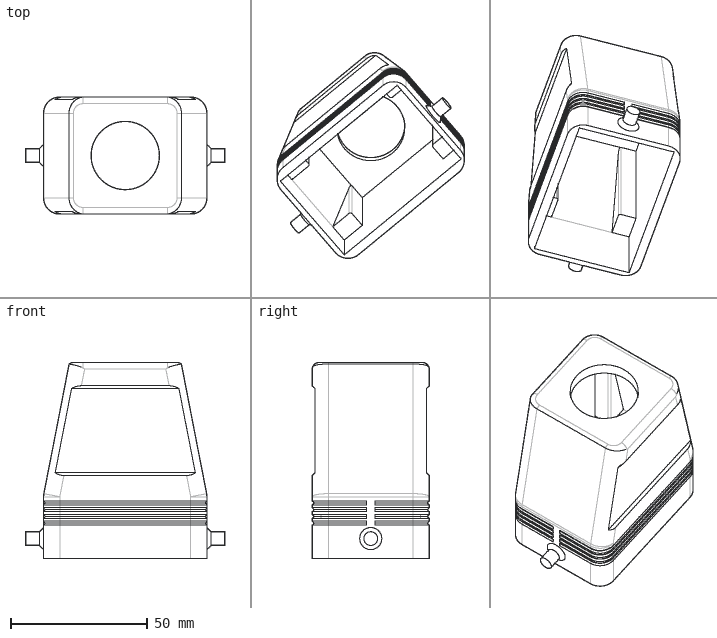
import cadquery as cq

LENGTH = 73.0
BODY_WIDTH = 60.0
DEPTH = 43.0
HEIGHT = 72.0
TOP_WIDTH = 41.0
BEND_HEIGHT = 23.3
BEND_RADIUS = 6.0
CORNER_RADIUS = 6.0
TOP_EDGE_RADIUS = 2.5

PANEL_BOTTOM = 31.5
PANEL_TOP = 62.4
PANEL_SINK = 1.0

GROOVE_COUNT = 4
FIRST_GROOVE_HEIGHT = 13.0
GROOVE_PITCH = 2.5
GROOVE_SINK = 0.7
BRIDGE_WIDTH = 3.0

PIN_HEIGHT = 7.4
PIN_DIAMETER = 5.05
COLLAR_LENGTH = 1.5

HOLE_DIAMETER = 25.0
TOP_THICKNESS = 5.05
SIDE_WALL = 2.0
CAVITY_DEPTH = 36.35
BLOCK_GAP_X = 38.8
BLOCK_GAP_Y = 23.2
BLOCK_EDGE_RADIUS = 0.8

MARGIN = 3.65

ceiling = HEIGHT - TOP_THICKNESS
side_slope = (BODY_WIDTH - TOP_WIDTH) / 2 / (HEIGHT - BEND_HEIGHT)


def half_width_at(height):
    """Half the X width of the sloped part of the body at a given height."""
    return BODY_WIDTH / 2 - side_slope * (height - BEND_HEIGHT)


def tapered_prism(inset, top, depth):
    """Prism along Y with straight sides up to the bend and sloped sides above it."""
    base_x = BODY_WIDTH / 2 - inset
    top_x = half_width_at(top) - inset
    outline = [
        (-base_x, 0),
        (base_x, 0),
        (base_x, BEND_HEIGHT),
        (top_x, top),
        (-top_x, top),
        (-base_x, BEND_HEIGHT),
    ]
    return cq.Workplane("XZ").polyline(outline).close().extrude(depth / 2, both=True)


def rounded_plate(width, depth, height, taper=0):
    """Plate with rounded vertical corners, optionally narrowing upwards."""
    sketch = cq.Sketch().rect(width, depth).vertices().fillet(CORNER_RADIUS)
    return cq.Workplane("XY").placeSketch(sketch).extrude(height, taper=taper)


def box(width, depth, height, bottom):
    """Block centred on the Z axis."""
    return cq.Workplane("XY").workplane(offset=bottom).rect(width, depth).extrude(height)


def hood_body():
    """Solid hood: bent sides, rounded corners and a rounded top rim."""
    body = tapered_prism(0, HEIGHT, DEPTH)
    at_bend = cq.selectors.BoxSelector(
        (-BODY_WIDTH, -DEPTH, BEND_HEIGHT - MARGIN), (BODY_WIDTH, DEPTH, BEND_HEIGHT + MARGIN)
    )
    body = body.edges("|Y").edges(at_bend).fillet(BEND_RADIUS)
    body = body.edges("not(|Y or |X)").fillet(CORNER_RADIUS)

    rim_bottom = HEIGHT - TOP_EDGE_RADIUS
    cap = rounded_plate(DEPTH, DEPTH, HEIGHT).faces(">Z").edges().fillet(TOP_EDGE_RADIUS)
    rim_cutter = box(BODY_WIDTH, DEPTH + MARGIN, TOP_EDGE_RADIUS + MARGIN, rim_bottom).cut(cap)
    return body.cut(rim_cutter)


def panel_cutter():
    """Trapezoid running along X that sinks the panel of the -Y face."""
    floor_y = -DEPTH / 2 + PANEL_SINK
    outer_y = floor_y - MARGIN
    outline = [
        (floor_y, PANEL_BOTTOM),
        (floor_y, PANEL_TOP),
        (outer_y, PANEL_TOP + MARGIN),
        (outer_y, PANEL_BOTTOM - MARGIN),
    ]
    return cq.Workplane("YZ").polyline(outline).close().extrude(BODY_WIDTH, both=True)


def groove_cutter(height):
    """V-shaped ring around the body, left open at the bridges on the X faces."""
    frustum = rounded_plate(BODY_WIDTH, DEPTH, GROOVE_SINK, taper=45)
    lower_half = frustum.translate((0, 0, -GROOVE_SINK))
    core = lower_half.union(lower_half.mirror("XY"))
    ring = box(BODY_WIDTH + MARGIN, DEPTH + MARGIN, 2 * GROOVE_SINK, -GROOVE_SINK).cut(core)
    bridge = box(LENGTH, BRIDGE_WIDTH, 2 * GROOVE_SINK, -GROOVE_SINK)
    return ring.cut(bridge).translate((0, 0, height))


def pin():
    """Pin on the +X face with its conical collar, turned about the pin axis."""
    root = BODY_WIDTH / 2
    embedded = root - SIDE_WALL / 2
    pin_radius = PIN_DIAMETER / 2
    collar_radius = pin_radius + COLLAR_LENGTH
    outline = [
        (embedded, 0),
        (embedded, collar_radius),
        (root, collar_radius),
        (root + COLLAR_LENGTH, pin_radius),
        (LENGTH / 2, pin_radius),
        (LENGTH / 2, 0),
    ]
    turned = cq.Workplane("XY").polyline(outline).close().revolve(360, (0, 0, 0), (1, 0, 0))
    return turned.translate((0, 0, PIN_HEIGHT))


def cavity():
    """Inside of the hood, with a block left standing in each corner above the bend."""
    block_x = BODY_WIDTH / 2 - BLOCK_GAP_X / 2
    block_y = (CAVITY_DEPTH - BLOCK_GAP_Y) / 2
    space = tapered_prism(SIDE_WALL, ceiling, CAVITY_DEPTH)
    block = (
        box(block_x, block_y, ceiling - BEND_HEIGHT, BEND_HEIGHT)
        .edges("|Z and <X and <Y")
        .fillet(BLOCK_EDGE_RADIUS)
        .translate(((BLOCK_GAP_X + block_x) / 2, (BLOCK_GAP_Y + block_y) / 2, 0))
    )
    pair = block.union(block.mirror("YZ"))
    return space.cut(pair).cut(pair.mirror("XZ"))


result = hood_body()
result = result.cut(panel_cutter()).cut(panel_cutter().mirror("XZ"))
for index in range(GROOVE_COUNT):
    result = result.cut(groove_cutter(FIRST_GROOVE_HEIGHT + index * GROOVE_PITCH))
result = result.union(pin()).union(pin().mirror("YZ"))
result = result.cut(cavity())
result = result.cut(cq.Workplane("XY").circle(HOLE_DIAMETER / 2).extrude(HEIGHT))